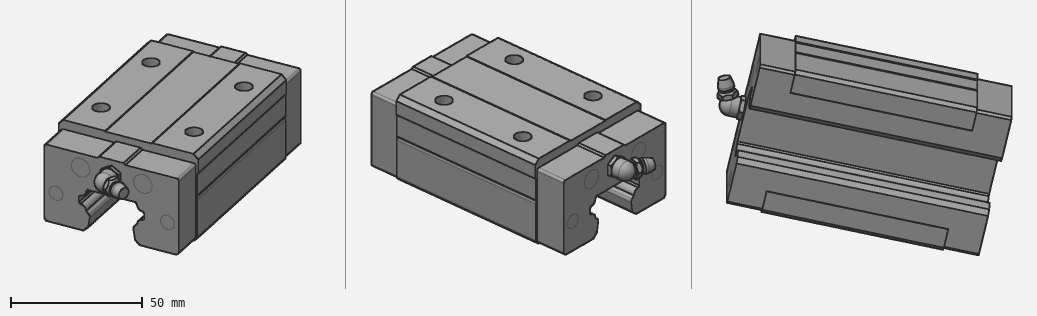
import cadquery as cq
import math

block_width = 60.0
block_height = 37.5
block_length = 70.6
cap_length = 13.6
cap_width = 58.0

top_chamfer = 2.0
top_relief_half_width = 10.0
top_relief_depth = 0.3
side_step_z = 29.5
side_step_depth = 0.3
side_groove_top_z = 19.6
side_groove_bottom_z = 18.2
side_groove_depth = 0.3
side_flare_top_z = 2.1
side_flare_bottom_z = 1.5
side_flare = 0.1
foot_inner_x = 20.6
foot_height = 0.33

cap_top_z = 33.5
cap_top_fillet = 1.0
cap_bottom_chamfer = 1.0
ridge_height = 0.7
ridge_top_half_width = 5.2
ridge_base_half_width = 6.0

channel_mid_z = 13.4
channel_roof_z = 18.5
channel_roof_half_width = 10.3
bulge_start_x = 13.3
bulge_start_offset = 1.85
bulge_middle_x = 11.55
bulge_middle_offset = 2.65
bulge_end_x = 10.95
bulge_end_offset = 4.3
slot_half_width = 14.0
slot_half_height = 1.2
lip_half_width = 9.25
lip_z = 7.5
lip_fillet = 1.5
lip_foot_x = 10.1
lip_foot_z = 2.2
channel_mouth_half_width = 12.1

hole_diameter = 6.8
hole_depth = 10.0
hole_spacing_x = 40.0
hole_spacing_y = 40.0
drill_tip_angle = 118.0

upper_plug = (13.4, 27.4, 4.0)
lower_plug = (24.0, 13.5, 3.0)
plug_depth = 2.0

nipple_z = 27.2
base_hex_flats = 8.0
base_hex_length = 1.9
elbow_radius = 4.0
elbow_center_distance = 5.3
outlet_angle = 23.25
outlet_hex_flats = 7.0
outlet_hex_start = 3.5
outlet_hex_corner_end = 4.95
hex_chamfer_angle = 30.0
collar_radius = 2.9
collar_end = 6.4
neck_radius = 2.5
neck_position = 6.7
head_radius = 3.15
head_start = 7.3
head_end = 8.4
tip_radius = 2.35
tip_position = 11.5

half_width = block_width / 2
half_length = block_length / 2
front_face_y = -half_length - cap_length


def mirrored_section(right_side):
    """Closed XZ outline from the corners of its right half, listed from top to bottom."""
    left_side = [(-x, z) for x, z in reversed(right_side)]
    return cq.Workplane("XZ").polyline(right_side + left_side).close()


def turned(profile):
    """Solid of revolution about Z from its closed (radius, height) outline."""
    return cq.Workplane("XZ").polyline(profile).close().revolve(360, (0, 0), (0, 1))


def steel_block():
    side_x = half_width - side_step_depth
    right_side = [
        (top_relief_half_width, block_height - top_relief_depth),
        (top_relief_half_width, block_height),
        (half_width - top_chamfer, block_height),
        (half_width, block_height - top_chamfer),
        (half_width, side_step_z),
        (side_x, side_step_z - side_step_depth),
        (side_x, side_groove_top_z),
        (side_x - side_groove_depth, side_groove_top_z),
        (side_x, side_groove_bottom_z),
        (side_x, side_flare_top_z),
        (side_x + side_flare, side_flare_bottom_z),
        (side_x + side_flare - side_flare_bottom_z, 0),
        (foot_inner_x, 0),
        (foot_inner_x, foot_height),
    ]
    return mirrored_section(right_side).extrude(half_length, both=True)


def end_cap(front_y):
    """End cap whose front face lies at front_y and which reaches cap_length towards +Y."""
    side_x = cap_width / 2
    right_side = [
        (ridge_top_half_width, cap_top_z + ridge_height),
        (ridge_base_half_width, cap_top_z),
        (side_x, cap_top_z),
        (side_x, foot_height + cap_bottom_chamfer),
        (side_x - cap_bottom_chamfer, foot_height),
    ]
    cap = mirrored_section(right_side).extrude(-cap_length)
    for side in (-1, 1):
        corner = cq.selectors.NearestToPointSelector((side * side_x, cap_length / 2, cap_top_z))
        cap = cap.edges(corner).fillet(cap_top_fillet)
    return cap.translate((0, front_y, 0))


def channel_half():
    """Right half of the rail channel, running the full length of the carriage."""
    outline = (
        cq.Workplane("XZ")
        .moveTo(0, channel_roof_z)
        .lineTo(channel_roof_half_width, channel_roof_z)
        .lineTo(bulge_end_x, channel_mid_z + bulge_end_offset)
        .threePointArc(
            (bulge_middle_x, channel_mid_z + bulge_middle_offset),
            (bulge_start_x, channel_mid_z + bulge_start_offset),
        )
        .lineTo(slot_half_width, channel_mid_z + slot_half_height)
        .lineTo(slot_half_width, channel_mid_z - slot_half_height)
        .lineTo(bulge_start_x, channel_mid_z - bulge_start_offset)
        .threePointArc(
            (bulge_middle_x, channel_mid_z - bulge_middle_offset),
            (bulge_end_x, channel_mid_z - bulge_end_offset),
        )
        .lineTo(lip_half_width, lip_z)
        .lineTo(lip_foot_x, lip_foot_z)
        .lineTo(channel_mouth_half_width, foot_height)
        .lineTo(channel_mouth_half_width, 0)
        .lineTo(0, 0)
        .close()
    )
    channel = outline.extrude(2 * front_face_y).translate((0, front_face_y, 0))
    lip_edge = cq.selectors.NearestToPointSelector((lip_half_width, 0, lip_z))
    return channel.edges("|Y").edges(lip_edge).fillet(lip_fillet)


def mounting_hole(x, y):
    """Blind hole from the top face with a conical drill tip."""
    radius = hole_diameter / 2
    tip_depth = radius / math.tan(math.radians(drill_tip_angle / 2))
    profile = [
        (0, 0),
        (radius, 0),
        (radius, -hole_depth),
        (0, -hole_depth - tip_depth),
    ]
    return turned(profile).translate((x, y, block_height))


def flush_plug(x, z, radius):
    """Plug level with the front face, leaving only its round seam visible."""
    plug = cq.Workplane("XZ").circle(radius).extrude(-plug_depth)
    return plug.translate((x, front_face_y, z))


def make_carriage():
    body = steel_block()
    for front_y in (front_face_y, half_length):
        body = body.union(end_cap(front_y))
    right_channel = channel_half()
    body = body.cut(right_channel.union(right_channel.mirror("YZ")))
    for x in (-hole_spacing_x / 2, hole_spacing_x / 2):
        for y in (-hole_spacing_y / 2, hole_spacing_y / 2):
            body = body.cut(mounting_hole(x, y))
    for x, z, radius in (upper_plug, lower_plug):
        for side in (-1, 1):
            body = body.union(flush_plug(side * x, z, radius), clean=False)
    return body


def hex_corner_radius(flats):
    return flats / 2 / math.cos(math.pi / 6)


def hex_prism(flats, start, end, turn):
    prism = cq.Workplane("XY").polygon(6, 2 * hex_corner_radius(flats)).extrude(end - start)
    return prism.rotate((0, 0, 0), (0, 0, 1), turn).translate((0, 0, start))


def hex_chamfer_drop(flats):
    """Height of a chamfer that runs from the corners of a hexagon in to its inscribed circle."""
    return (hex_corner_radius(flats) - flats / 2) * math.tan(math.radians(hex_chamfer_angle))


def elbow():
    corner_radius = hex_corner_radius(base_hex_flats)
    envelope = turned([
        (0, 0),
        (corner_radius, 0),
        (corner_radius, base_hex_length - hex_chamfer_drop(base_hex_flats)),
        (base_hex_flats / 2, base_hex_length),
        (0, base_hex_length),
    ])
    base = hex_prism(base_hex_flats, 0, base_hex_length, 30).intersect(envelope)
    barrel = cq.Workplane("XY").circle(elbow_radius).extrude(elbow_center_distance)
    ball = cq.Workplane("XY").sphere(elbow_radius).translate((0, 0, elbow_center_distance))
    return base.union(barrel).union(ball).rotate((0, 0, 0), (1, 0, 0), 90)


def outlet_hexagon():
    """Hexagon chamfered at its inner end and tapering to a round collar at its outer end."""
    corner_radius = hex_corner_radius(outlet_hex_flats)
    envelope = turned([
        (0, outlet_hex_start),
        (outlet_hex_flats / 2, outlet_hex_start),
        (corner_radius, outlet_hex_start + hex_chamfer_drop(outlet_hex_flats)),
        (corner_radius, outlet_hex_corner_end),
        (collar_radius, collar_end),
        (0, collar_end),
    ])
    return hex_prism(outlet_hex_flats, outlet_hex_start, collar_end, 90).intersect(envelope)


def outlet():
    """Angled outlet, measured along its axis from the centre of the elbow's ball."""
    spindle = turned([
        (0, 0),
        (neck_radius, 0),
        (neck_radius, neck_position),
        (head_radius, head_start),
        (head_radius, head_end),
        (tip_radius, tip_position),
        (0, tip_position),
    ])
    body = spindle.union(outlet_hexagon()).rotate((0, 0, 0), (0, 1, 0), 90)
    body = body.rotate((0, 0, 0), (0, 0, 1), -outlet_angle)
    return body.translate((0, -elbow_center_distance, 0))


def make_nipple():
    return elbow().union(outlet()).translate((0, front_face_y, nipple_z))


carriage = make_carriage()
nipple = make_nipple()

result = cq.Compound.makeCompound([carriage.val(), nipple.val()])